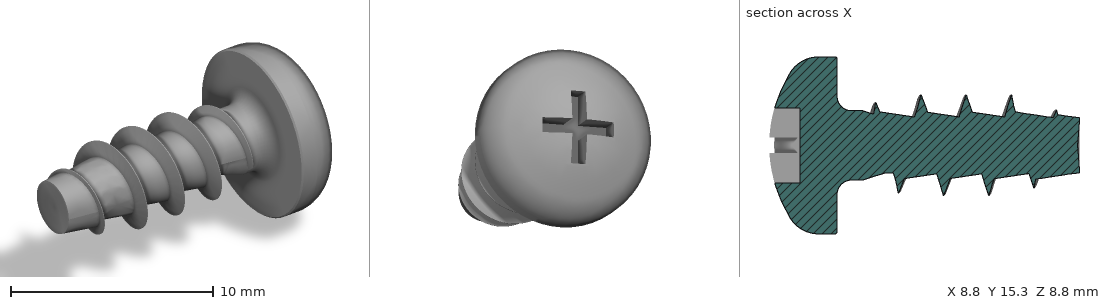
import cadquery as cq
import math


HEAD_RADIUS = 4.4
HEAD_HEIGHT = 3.37
RIM_HEIGHT = 0.91
SEAT_CHAMFER = 0.08
CROWN_EDGE_RADIUS = 3.4
CROWN_EDGE_HEIGHT = 2.45

WING_WIDTH = 0.76
WING_REACH = 1.85
RECESS_DEPTH = 1.5

NECK_RADIUS = 1.73
NECK_FILLET = 0.7
NECK_END = -1.26

TIP = -12.0
TIP_RADIUS = 1.38
TIP_DISH_RADIUS = 1.275
TIP_DISH_DEPTH = 0.1
PITCH = 2.24
CORE_RADIUS = 1.385
ROOT_RADIUS = 1.70
NECK_CONE_LENGTH = 1.1

CREST_RADIUS = 2.5
CREST_WIDTH = 0.04
HEAD_FLANK_ANGLE = 17.0
TIP_FLANK_ANGLE = 20.0
RIDGE_DEPTH = 1.25
FIRST_CREST = -1.34
FIRST_CREST_RADIUS = 2.0
RUN_IN_TURNS = 1.0
RUN_OUT_START = 3.25
RUN_OUT_END = 4.75
THREAD_START = -0.6
THREAD_END = RUN_OUT_END
SAMPLES_PER_TURN = 24

WEDGE_INNER_RADIUS = 1.0
WEDGE_GAP = 0.045
WEDGE_SINK = 0.01

TRIM_RADIUS = 1.2 * CREST_RADIUS


def revolve_about_y(profile):
    return profile.close().revolve(360, (0, 0, 0), (0, 1, 0))


def arc_midpoint(start, end, radius):
    """Middle of the arc of the given radius from start to end, bulging to the right of that direction."""
    dx = end[0] - start[0]
    dy = end[1] - start[1]
    half_chord = math.hypot(dx, dy) / 2
    bulge = radius - math.sqrt(radius**2 - half_chord**2)
    return (
        (start[0] + end[0]) / 2 + bulge * dy / (2 * half_chord),
        (start[1] + end[1]) / 2 - bulge * dx / (2 * half_chord),
    )


def make_head():
    rim_top = (HEAD_RADIUS, RIM_HEIGHT)
    crown_edge = (CROWN_EDGE_RADIUS, CROWN_EDGE_HEIGHT)
    top = (0, HEAD_HEIGHT)
    crown_drop = HEAD_HEIGHT - CROWN_EDGE_HEIGHT
    crown_radius = (CROWN_EDGE_RADIUS**2 + crown_drop**2) / (2 * crown_drop)
    shoulder_inset = HEAD_RADIUS - CROWN_EDGE_RADIUS
    shoulder_rise = CROWN_EDGE_HEIGHT - RIM_HEIGHT
    shoulder_radius = (shoulder_inset**2 + shoulder_rise**2) / (2 * shoulder_inset)
    profile = (
        cq.Workplane("XY")
        .lineTo(HEAD_RADIUS - SEAT_CHAMFER, 0)
        .lineTo(HEAD_RADIUS, SEAT_CHAMFER)
        .lineTo(*rim_top)
        .threePointArc(arc_midpoint(rim_top, crown_edge, shoulder_radius), crown_edge)
        .threePointArc(arc_midpoint(crown_edge, top, crown_radius), top)
    )
    return revolve_about_y(profile)


def make_recess():
    wing = cq.Workplane("XY").box(2 * WING_REACH, 2 * RECESS_DEPTH, WING_WIDTH)
    cross = wing.union(wing.rotate((0, 0, 0), (0, 1, 0), 90))
    return cross.translate((0, HEAD_HEIGHT, 0))


def make_neck_and_core():
    fillet_offset = NECK_FILLET * (1 - math.sqrt(0.5))
    profile = (
        cq.Workplane("XY")
        .lineTo(NECK_RADIUS + NECK_FILLET, 0)
        .threePointArc((NECK_RADIUS + fillet_offset, -fillet_offset), (NECK_RADIUS, -NECK_FILLET))
        .lineTo(NECK_RADIUS, NECK_END)
        .lineTo(CORE_RADIUS, NECK_END - NECK_CONE_LENGTH)
        .lineTo(CORE_RADIUS, TIP)
        .lineTo(0, TIP)
    )
    return revolve_about_y(profile)


def crest_radius(turns):
    if turns < RUN_IN_TURNS:
        growth = (CREST_RADIUS - FIRST_CREST_RADIUS) / RUN_IN_TURNS
        return FIRST_CREST_RADIUS + growth * turns
    if turns < RUN_OUT_START:
        return CREST_RADIUS
    sunk = (turns - RUN_OUT_START) / (RUN_OUT_END - RUN_OUT_START)
    return CREST_RADIUS + (TIP_RADIUS - CREST_RADIUS) * sunk


def helix_point(turns, radius, offset):
    """Point on the right-handed helix, moved along the axis by offset."""
    angle = 2 * math.pi * turns
    height = FIRST_CREST - PITCH * turns + offset
    return cq.Vector(radius * math.cos(angle), height, radius * math.sin(angle))


def helical_solid(section, start, end):
    """Solid swept by section(turns), a list of (radius, axial offset) corners, from start to end."""
    steps = math.ceil((end - start) * SAMPLES_PER_TURN)
    stations = [start + (end - start) * step / steps for step in range(steps + 1)]
    sections = [[helix_point(turns, *corner) for corner in section(turns)] for turns in stations]
    rails = [cq.Edge.makeSpline(list(path)) for path in zip(*sections)]
    faces = [cq.Face.makeRuledSurface(rail, rails[index - 1]) for index, rail in enumerate(rails)]
    for end_section in (sections[0], sections[-1]):
        faces.append(cq.Face.makeFromWires(cq.Wire.makePolygon(end_section, close=True)))
    solid = cq.Solid.makeSolid(cq.Shell.makeShell(faces))
    return cq.Workplane(solid.fix())


def ridge_section(turns):
    crest = crest_radius(turns)
    base = crest - RIDGE_DEPTH
    half_crest = CREST_WIDTH / 2
    head_foot = half_crest + RIDGE_DEPTH * math.tan(math.radians(HEAD_FLANK_ANGLE))
    tip_foot = half_crest + RIDGE_DEPTH * math.tan(math.radians(TIP_FLANK_ANGLE))
    return [(base, head_foot), (crest, half_crest), (crest, -half_crest), (base, -tip_foot)]


def wedge_section(_turns):
    """Core surface between ridges: it narrows towards the tip until it dips under the core."""
    length = PITCH - WEDGE_GAP
    narrow = CORE_RADIUS - WEDGE_SINK
    return [
        (WEDGE_INNER_RADIUS, 0),
        (ROOT_RADIUS, 0),
        (narrow, -length),
        (WEDGE_INNER_RADIUS, -length),
    ]


def make_thread():
    """Ridge and helical core, cut square at the neck and the tip; the core also ends as a cone."""
    length = NECK_END - TIP
    square_ends = cq.Workplane("XZ", origin=(0, NECK_END, 0)).circle(TRIM_RADIUS).extrude(length)
    core_slope = (ROOT_RADIUS - CORE_RADIUS) / PITCH
    cone_base_radius = TIP_RADIUS + core_slope * length
    tip_cone = revolve_about_y(
        cq.Workplane("XY")
        .moveTo(0, NECK_END)
        .lineTo(cone_base_radius, NECK_END)
        .lineTo(TIP_RADIUS, TIP)
        .lineTo(0, TIP)
    )
    ridge = helical_solid(ridge_section, THREAD_START, THREAD_END).intersect(square_ends)
    wedge = helical_solid(wedge_section, 0, THREAD_END).intersect(tip_cone)
    return ridge.union(wedge)


def make_tip_dish():
    profile = cq.Workplane("XY").moveTo(0, TIP).lineTo(TIP_DISH_RADIUS, TIP).lineTo(0, TIP + TIP_DISH_DEPTH)
    return revolve_about_y(profile)


head = make_head().cut(make_recess())
shank = make_neck_and_core().union(make_thread()).cut(make_tip_dish())
result = head.union(shank)